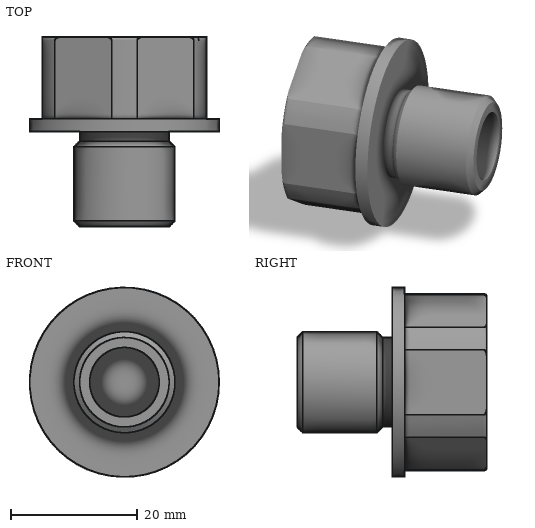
import cadquery as cq

total_length = 30.0
head_length = 13.0
flange_thickness = 2.0
neck_length = 1.5
shank_length = total_length - head_length - flange_thickness - neck_length

flange_diameter = 30.0
shank_diameter = 16.0
neck_diameter = 14.15
bore_diameter = 11.0
head_diameter = 28.0
across_flats = 26.0
head_edge_radius = 0.5
hex_sides = 6

bore_depth = shank_length + neck_length

shank_chamfer = (shank_diameter - neck_diameter) / 2
neck_start = -total_length / 2 + shank_length
flange_start = neck_start + neck_length
head_start = flange_start + flange_thickness


def cylinder(diameter, start, length):
    """Solid cylinder on the Y axis, growing toward +Y from start."""
    plane = cq.Workplane("XZ", origin=(0, start, 0))
    return plane.circle(diameter / 2).extrude(-length)


def make_head():
    """Cylinder with a rounded back rim, cut to a hexagon with flats facing +X and -X."""
    rounded = cylinder(head_diameter, head_start, head_length).faces(">Y").edges().fillet(head_edge_radius)
    hexagon = (
        cq.Workplane("XZ", origin=(0, head_start, 0))
        .polygon(hex_sides, across_flats, circumscribed=True)
        .extrude(-head_length)
    )
    return rounded.intersect(hexagon)


def make_shank():
    """Shank chamfered at both ends, with the narrower neck behind it."""
    shank = cylinder(shank_diameter, -total_length / 2, shank_length).edges().chamfer(shank_chamfer)
    return shank.union(cylinder(neck_diameter, neck_start, neck_length))


flange = cylinder(flange_diameter, flange_start, flange_thickness)
bore = cylinder(bore_diameter, -total_length / 2, bore_depth)
result = make_head().union(flange).union(make_shank()).cut(bore)